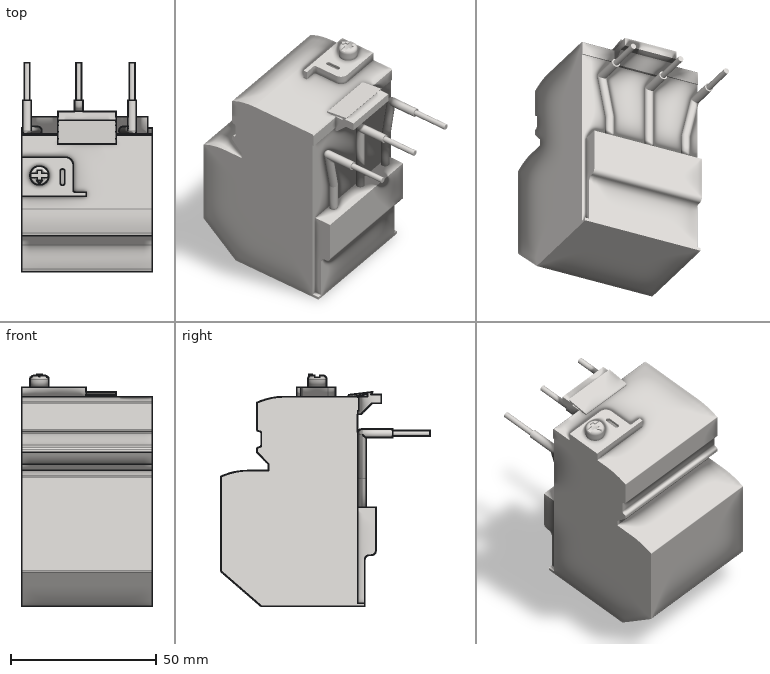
import cadquery as cq
import math


width = 45.0
back_y = 47.1
top_z = 72.25
lip_depth = 0.4
lip_bottom_z = 67.3
lip_chamfer = 0.4
ledge_back_y = 49.6
ledge_height = 1.1
base_front_y = 13.9
slope_top_z = 12.05
slope_fillet = 1.0
terminal_top_z = 46.8
neck_y = 16.4
notch_slope_z = 49.0
upper_front_y = 12.4
rib_bottom_z = 53.1
groove_bottom_z = 54.85
groove_top_z = 60.3
groove_radius = 0.75

brow_radius = 22.0
brow_run = 8.35
brow_drop = brow_radius - math.sqrt(brow_radius**2 - brow_run**2)
brow_tip_run = 1.0
brow_tip_drop = brow_tip_run * math.tan(math.asin(brow_run / brow_radius))
brow_fillet = 0.3

plate_top_z = 75.5
plate_front_y = 26.1
plate_back_y = 39.5
plate_width = 17.75
plate_corner_radius = 2.7
plate_foot_width = 22.2
plate_foot_depth = 1.4
plate_foot_fillet = 0.6
slot_x = 14.05
slot_y = 32.65
slot_length = 5.6
slot_width = 1.6
slot_depth = 1.0

screw_x = 6.1
screw_y = 33.2
screw_diameter = 6.5
screw_height = 4.05
screw_dome_radius = 1.3
cross_width = 1.6
cross_short_length = 3.6
cross_depth = 0.55
pointer_top_z = 80.0
pointer_depth = 1.2
pointer_tip = 3.0
pointer_top_back = 1.65
pointer_top_half_width = 0.95
pointer_bottom_back = 2.3
pointer_bottom_half_width = 0.3

clip_width = 20.0
clip_x = width / 2
clip_back_y = 55.3
clip_top_z = 73.0
clip_nose_bottom_z = 69.95
clip_nose_front_y = 52.1
clip_foot_y = 48.25
clip_foot_z = 66.1
gap_back_y = 50.5
gap_front_y = 45.9
tab_back_y = 52.3
tab_back_z = 73.9
tab_back_undercut = 0.6
tab_front_y = 43.9
tab_slope = 0.12
tab_front_chamfer = 0.3

housing_inset = 1.5
housing_back_y = 53.45
housing_top_z = 34.15
housing_step_z = 17.6
housing_step_fillet = 1.6

wire_diameter = 3.0
pin_diameter = 2.0
pin_tip_y = 72.1
pin_start_y = 59.15
wire_z = 59.6
wire_bend_z = 44.3
wire_leg_y = back_y + wire_diameter / 2
wire_positions = [(1.85, 5.4), (19.65, 19.65), (38.05, 35.0)]


def box(x0, x1, y0, y1, z0, z1):
    return cq.Workplane("XY").box(x1 - x0, y1 - y0, z1 - z0, centered=False).translate((x0, y0, z0))


def extrude_profile(points, x0, x1):
    """Extrude a (Y, Z) outline from x0 to x1."""
    return cq.Workplane("YZ").workplane(offset=x0).polyline(points).close().extrude(x1 - x0)


def add_brow(outline, front_y, level_z):
    """Continue a (Y, Z) outline along a brow, from its top level to the front face."""
    start_y = front_y + brow_tip_run + brow_run
    half_angle = math.asin(brow_run / brow_radius) / 2
    middle = (
        start_y - brow_radius * math.sin(half_angle),
        level_z - brow_radius * (1 - math.cos(half_angle)),
    )
    arc_end = (front_y + brow_tip_run, level_z - brow_drop)
    front_edge = (front_y, level_z - brow_drop - brow_tip_drop)
    return outline.lineTo(start_y, level_z).threePointArc(middle, arc_end).lineTo(*front_edge)


def make_body():
    lip_y = back_y + lip_depth
    groove_mid_y = upper_front_y + groove_radius
    groove_floor_y = upper_front_y + 2 * groove_radius

    outline = cq.Workplane("YZ").moveTo(ledge_back_y, 0)
    outline = outline.lineTo(ledge_back_y, ledge_height).lineTo(back_y, ledge_height)
    outline = outline.lineTo(back_y, lip_bottom_z).lineTo(lip_y, lip_bottom_z)
    outline = outline.lineTo(lip_y, top_z - lip_chamfer).lineTo(lip_y - lip_chamfer, top_z)
    outline = add_brow(outline, upper_front_y, top_z)
    outline = outline.lineTo(upper_front_y, groove_top_z + groove_radius)
    outline = outline.tangentArcPoint((groove_mid_y, groove_top_z), relative=False)
    outline = outline.tangentArcPoint((groove_floor_y, groove_top_z - groove_radius), relative=False)
    outline = outline.lineTo(groove_floor_y, groove_bottom_z + groove_radius)
    outline = outline.tangentArcPoint((groove_mid_y, groove_bottom_z), relative=False)
    outline = outline.tangentArcPoint((upper_front_y, groove_bottom_z - groove_radius), relative=False)
    outline = outline.lineTo(upper_front_y, rib_bottom_z)
    outline = outline.lineTo(neck_y, notch_slope_z).lineTo(neck_y, terminal_top_z)
    outline = add_brow(outline, 0, terminal_top_z)
    outline = outline.lineTo(0, slope_top_z).lineTo(base_front_y, 0)
    body = outline.close().extrude(width)

    rounded_edges = [
        (upper_front_y, top_z - brow_drop - brow_tip_drop, brow_fillet),
        (0, terminal_top_z - brow_drop - brow_tip_drop, brow_fillet),
        (0, slope_top_z, slope_fillet),
    ]
    for edge_y, edge_z, radius in rounded_edges:
        edge = cq.selectors.NearestToPointSelector((width / 2, edge_y, edge_z))
        body = body.edges(edge).fillet(radius)
    return body


def make_reset_plate():
    height = plate_top_z - top_z
    foot_back_y = plate_front_y + plate_foot_depth
    plate = box(0, plate_width, plate_front_y, plate_back_y, top_z, plate_top_z)
    plate = plate.edges("|Z and >X and >Y").fillet(plate_corner_radius)
    plate = plate.union(box(0, plate_foot_width, plate_front_y, foot_back_y, top_z, plate_top_z))
    inner_corner = cq.selectors.NearestToPointSelector((plate_width, foot_back_y, top_z + height / 2))
    plate = plate.edges(inner_corner).fillet(plate_foot_fillet)
    slot = (
        cq.Workplane("XY", origin=(slot_x, slot_y, plate_top_z - slot_depth))
        .slot2D(slot_length, slot_width, 90)
        .extrude(slot_depth)
    )
    return plate.cut(slot)


def make_pointer():
    """Triangular pointer on the screw head, narrowing downwards towards its upright tip."""
    def triangle(back, half_width):
        return [(-half_width, -back), (half_width, -back), (0, -pointer_tip)]

    return (
        cq.Workplane("XY", origin=(screw_x, screw_y, pointer_top_z - pointer_depth))
        .polyline(triangle(pointer_bottom_back, pointer_bottom_half_width)).close()
        .workplane(offset=pointer_depth)
        .polyline(triangle(pointer_top_back, pointer_top_half_width)).close()
        .loft(ruled=True)
    )


def make_screw():
    head = cq.Workplane("XY").circle(screw_diameter / 2).extrude(screw_height)
    head = head.faces(">Z").edges().fillet(screw_dome_radius)
    cross = cq.Workplane("XY", origin=(0, 0, screw_height - cross_depth))
    head = head.cut(cross.rect(screw_diameter, cross_width).extrude(cross_depth))
    head = head.cut(cross.rect(cross_width, cross_short_length).extrude(cross_depth))
    return head.translate((screw_x, screw_y, plate_top_z)).union(make_pointer())


def make_clip():
    tab_front_z = tab_back_z - tab_slope * (tab_back_y - tab_front_y - tab_front_chamfer)
    outline = [
        (clip_back_y, clip_top_z),
        (clip_back_y, clip_nose_bottom_z),
        (clip_nose_front_y, clip_nose_bottom_z),
        (clip_foot_y, clip_foot_z),
        (back_y, clip_foot_z),
        (back_y, top_z),
        (gap_back_y, top_z),
        (gap_back_y, clip_top_z),
        (gap_front_y, top_z),
        (tab_front_y, top_z),
        (tab_front_y, tab_front_z - tab_front_chamfer),
        (tab_front_y + tab_front_chamfer, tab_front_z),
        (tab_back_y, tab_back_z),
        (tab_back_y - tab_back_undercut, clip_top_z),
    ]
    return extrude_profile(outline, clip_x - clip_width / 2, clip_x + clip_width / 2)


def make_housing():
    outline = [
        (back_y, ledge_height),
        (ledge_back_y, ledge_height),
        (ledge_back_y, housing_step_z),
        (housing_back_y, housing_step_z),
        (housing_back_y, housing_top_z),
        (back_y, housing_top_z),
    ]
    housing = extrude_profile(outline, housing_inset, width - housing_inset)
    for step_y in (ledge_back_y, housing_back_y):
        corner = cq.selectors.NearestToPointSelector((width / 2, step_y, housing_step_z))
        housing = housing.edges(corner).fillet(housing_step_fillet)
    return housing


def rod(start, end, diameter):
    axis = cq.Vector(*end) - cq.Vector(*start)
    return cq.Workplane(cq.Solid.makeCylinder(diameter / 2, axis.Length, cq.Vector(*start), axis))


def ball(center):
    return cq.Workplane("XY").sphere(wire_diameter / 2).translate(center)


def make_wire(pin_x, leg_x):
    """Wire rising from the housing, slanting to its pin position and turning backwards."""
    foot = (leg_x, wire_leg_y, housing_top_z)
    bend = (leg_x, wire_leg_y, wire_bend_z)
    elbow = (pin_x, wire_leg_y, wire_z)
    pin_start = (pin_x, pin_start_y, wire_z)
    pin_tip = (pin_x, pin_tip_y, wire_z)
    wire = rod(foot, bend, wire_diameter)
    if leg_x != pin_x:
        wire = wire.union(ball(bend))
    wire = wire.union(rod(bend, elbow, wire_diameter))
    wire = wire.union(ball(elbow))
    wire = wire.union(rod(elbow, pin_start, wire_diameter))
    return wire.union(rod(pin_start, pin_tip, pin_diameter))


result = make_body().union(make_reset_plate()).union(make_screw()).union(make_clip()).union(make_housing())
for pin_x, leg_x in wire_positions:
    result = result.union(make_wire(pin_x, leg_x))